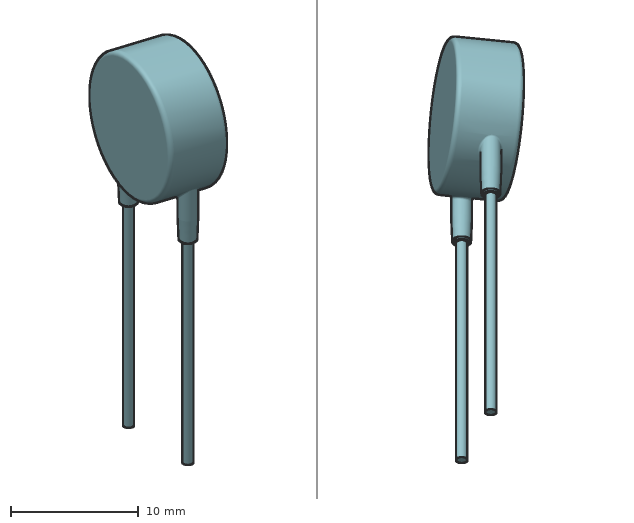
import cadquery as cq
import math

disc_diameter = 12.5
disc_thickness = 5.4
disc_edge_radius = 0.4
disc_tilt = -7.0

lead_pitch = 7.5
lead_diameter = 0.9
lead_length = 20.0

sleeve_diameter = 1.65
sleeve_tip_diameter = 1.5
sleeve_drop = 3.0
sleeve_taper_length = 2.15
sleeve_end_chamfer = 0.15
sleeve_root_fillet = 0.15

disc_radius = disc_diameter / 2
disc_center_z = sleeve_drop + disc_radius


def make_disc():
    """Round body with rolled edges, axis along Y, turned about Z."""
    disc = (
        cq.Workplane("XZ", origin=(0, disc_thickness / 2, 0))
        .circle(disc_radius)
        .extrude(disc_thickness)
        .edges("%CIRCLE")
        .fillet(disc_edge_radius)
    )
    return disc.rotate((0, 0, 0), (0, 0, 1), disc_tilt).translate((0, 0, disc_center_z))


def make_lead(x):
    """Wire and tapered sleeve revolved about a vertical axis, ending inside the disc."""
    wire_radius = lead_diameter / 2
    sleeve_radius = sleeve_diameter / 2
    tip_radius = sleeve_tip_diameter / 2
    profile = (
        cq.Workplane("XZ")
        .moveTo(0, -lead_length)
        .lineTo(wire_radius, -lead_length)
        .lineTo(wire_radius, 0)
        .lineTo(tip_radius - sleeve_end_chamfer, 0)
        .lineTo(tip_radius, sleeve_end_chamfer)
        .lineTo(sleeve_radius, sleeve_taper_length)
        .lineTo(sleeve_radius, disc_center_z)
        .lineTo(0, disc_center_z)
        .close()
    )
    return profile.revolve(360, (0, 0, 0), (0, 1, 0)).translate((x, 0, 0))


def blend_sleeve_root(body, x):
    """Round the corner where the sleeve at x meets the rim of the disc."""
    reach = sleeve_diameter
    root_z = disc_center_z - math.sqrt(disc_radius**2 - x**2)
    root_box = cq.selectors.BoxSelector(
        (x - reach, -reach, root_z - reach),
        (x + reach, reach, root_z + reach),
    )
    return body.edges("not %CIRCLE").edges("not %LINE").edges(root_box).fillet(sleeve_root_fillet)


result = make_disc()
for side in (-1, 1):
    lead_x = side * lead_pitch / 2
    result = result.union(make_lead(lead_x))
    result = blend_sleeve_root(result, lead_x)